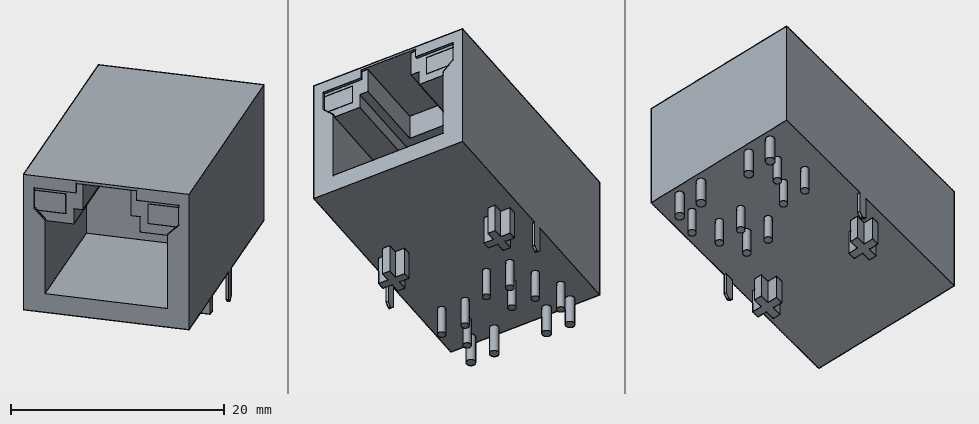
import cadquery as cq


body_width = 16.13
body_length = 25.4
body_height = 13.97
shield_thickness = 0.25
front_y = -body_length / 2

opening_half_width = 5.96
opening_floor_z = 1.94
opening_shoulder_half_width = 7.04
slope_bottom_z = 9.54
slope_top_z = slope_bottom_z + opening_shoulder_half_width - opening_half_width
opening_shoulder_z = 12.71
opening_tab_half_width = 2.96
opening_top_z = 13.68

cavity_depth = 14.0
cavity_step_z = 9.36
cavity_step_half_width = 3.22
cavity_top_z = 10.94
slot_depth = 8.0
slot_half_width = 2.34

window_depth = 0.02
window_inner_x = 4.01
window_bottom_z = 10.33
window_top_z = 12.36

pin_length = 3.15
pin_pitch = 1.27
signal_pin_diameter = 0.79
signal_front_row_y = 4.42
signal_row_spacing = 2.54
signal_rows = [[1, 5], [-9, -5, 3, 7], [-7, 9]]
light_pin_diameter = 0.92
light_pin_y = 11.79
light_pin_inner_x = 2.84
light_pin_spacing = 2.54

post_x = 5.715
post_y = -1.9
post_span = 2.83
post_arm_thickness = 0.8

tab_y = 1.15
tab_width = 0.97
tab_length = 3.2
tab_tip_width = 0.2
tab_taper_height = 0.38


def mirrored_prism(right_side, depth):
    """Mirror a right-hand outline of (x, z) points about X = 0 and extrude it inward from the front."""
    left_side = [(-x, z) for x, z in reversed(right_side)]
    plane = cq.Workplane("XZ", origin=(0, front_y, 0))
    return plane.polyline(right_side + left_side).close().extrude(-depth)


def make_opening(depth):
    """Stepped opening, with sloped sides below its shoulders, cut to the given depth."""
    outline = [
        (opening_half_width, opening_floor_z),
        (opening_half_width, slope_bottom_z),
        (opening_shoulder_half_width, slope_top_z),
        (opening_shoulder_half_width, opening_shoulder_z),
        (opening_tab_half_width, opening_shoulder_z),
        (opening_tab_half_width, opening_top_z),
    ]
    return mirrored_prism(outline, depth)


def make_cavity():
    outline = [
        (opening_half_width, opening_floor_z),
        (opening_half_width, cavity_step_z),
        (cavity_step_half_width, cavity_step_z),
        (cavity_step_half_width, cavity_top_z),
    ]
    return mirrored_prism(outline, cavity_depth)


def make_latch_slot():
    outline = [(slot_half_width, cavity_step_z), (slot_half_width, opening_top_z)]
    return mirrored_prism(outline, slot_depth)


def make_windows():
    """Light windows: the outer ends of a band across the opening."""
    depth = shield_thickness + window_depth
    band = mirrored_prism([(opening_shoulder_half_width, window_bottom_z),
                           (opening_shoulder_half_width, window_top_z)], depth)
    middle = mirrored_prism([(window_inner_x, window_bottom_z), (window_inner_x, window_top_z)], depth)
    return band.cut(middle).intersect(make_opening(depth))


def make_pins(positions, diameter):
    pins = cq.Workplane("XY").pushPoints(positions).circle(diameter / 2)
    return pins.extrude(-pin_length)


def make_signal_pins():
    points = []
    for row, steps in enumerate(signal_rows):
        row_y = signal_front_row_y + row * signal_row_spacing
        points += [(step * pin_pitch / 2, row_y) for step in steps]
    return make_pins(points, signal_pin_diameter)


def make_light_pins():
    outer_x = light_pin_inner_x + light_pin_spacing
    positions = [-outer_x, -light_pin_inner_x, light_pin_inner_x, outer_x]
    return make_pins([(x, light_pin_y) for x in positions], light_pin_diameter)


def make_post(x):
    post = cq.Workplane("XY").center(x, post_y)
    along_x = post.rect(post_span, post_arm_thickness).extrude(-pin_length)
    along_y = post.rect(post_arm_thickness, post_span).extrude(-pin_length)
    return along_x.union(along_y)


def make_tab(left_x):
    taper_z = tab_taper_height - tab_length
    outline = [
        (tab_y - tab_width / 2, 0),
        (tab_y - tab_width / 2, taper_z),
        (tab_y - tab_tip_width / 2, -tab_length),
        (tab_y + tab_tip_width / 2, -tab_length),
        (tab_y + tab_width / 2, taper_z),
        (tab_y + tab_width / 2, 0),
    ]
    return cq.Workplane("YZ", origin=(left_x, 0, 0)).polyline(outline).close().extrude(shield_thickness)


body = cq.Workplane("XY").box(body_width, body_length, body_height, centered=(True, True, False))
body = body.cut(make_opening(shield_thickness))
body = body.cut(make_cavity()).cut(make_latch_slot()).cut(make_windows())

body = body.union(make_signal_pins()).union(make_light_pins())

for x in (-post_x, post_x):
    body = body.union(make_post(x))

for left_x in (-body_width / 2, body_width / 2 - shield_thickness):
    body = body.union(make_tab(left_x))

result = body